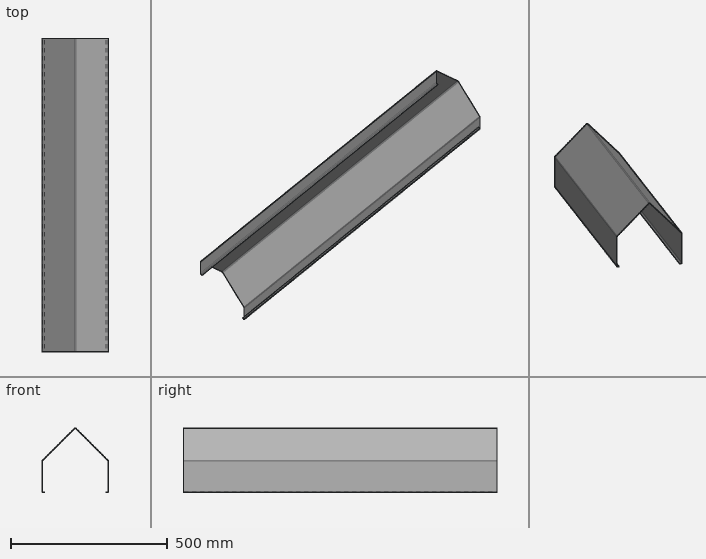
import math

import cadquery as cq

length = 1000.0
sheet = 1.5
roof_slope_length = 150.0
wall_height = 100.0 + sheet
lip_width = 8.0
inner_bend_radius = 1.5
roof_angle = math.radians(45)

outer_bend_radius = inner_bend_radius + sheet
half_width = roof_slope_length * math.cos(roof_angle)
peak_height = wall_height + roof_slope_length * math.sin(roof_angle)
lip_end = half_width - lip_width
inner_half_width = half_width - sheet
inner_peak = peak_height - sheet / math.cos(roof_angle)
inner_eave = inner_peak - inner_half_width * math.tan(roof_angle)

outer_peak_corner = (0, peak_height)
outer_eave_corner = (half_width, wall_height)
outer_foot_corner = (half_width, 0)
inner_foot_corner = (inner_half_width, sheet)
inner_eave_corner = (inner_half_width, inner_eave)
inner_peak_corner = (0, inner_peak)

selection_margin = 0.01


def mirrored(corners):
    """Corners reflected to the left side, in reverse order."""
    return [(-x, z) for x, z in reversed(corners)]


def build_sharp_cover():
    """Two roof slopes, two walls and two lips with sharp bends."""
    right_outer = [outer_eave_corner, outer_foot_corner, (lip_end, 0)]
    right_inner = [(lip_end, sheet), inner_foot_corner, inner_eave_corner]
    right_side = right_outer + right_inner
    outline = [outer_peak_corner] + right_side + [inner_peak_corner] + mirrored(right_side)
    return cq.Workplane("XZ").polyline(outline).close().extrude(length / 2, both=True)


def round_bends(body, corners, radius):
    """Round the lengthwise edges that pass through the given corners."""
    for x, z in corners:
        reach = length / 2 + selection_margin
        edge_box = cq.selectors.BoxSelector(
            (x - selection_margin, -reach, z - selection_margin),
            (x + selection_margin, reach, z + selection_margin),
        )
        body = body.edges(edge_box).fillet(radius)
    return body


def build_cover():
    outer_side = [outer_eave_corner, outer_foot_corner]
    inner_side = [inner_foot_corner, inner_eave_corner]
    outer_bends = [outer_peak_corner] + outer_side + mirrored(outer_side)
    inner_bends = [inner_peak_corner] + inner_side + mirrored(inner_side)
    cover = build_sharp_cover()
    cover = round_bends(cover, outer_bends, outer_bend_radius)
    return round_bends(cover, inner_bends, inner_bend_radius)


result = build_cover()